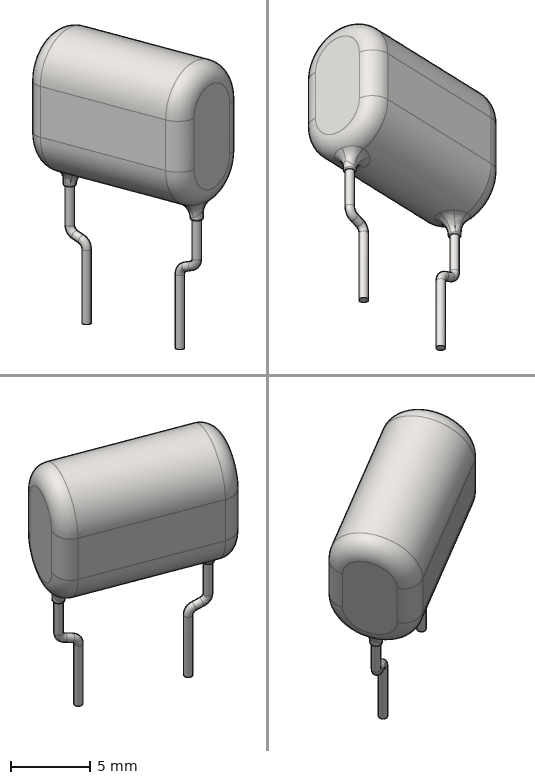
import cadquery as cq
import math

case_length = 12.6
case_depth = 6.2
case_height = 9.6
case_edge_radius = 1.27
overall_height = 19.6
case_bottom = overall_height - case_height
case_centre_z = case_bottom + case_height / 2

collar_diameter = 0.82
collar_bottom = 8.95
collar_blend_radius = 1.08
collar_lip_radius = 0.1

lead_diameter = 0.6
upper_lead_x = 5.1
lower_lead_x = 3.75
bend_top = 6.31
bend_bottom = 4.98
bend_radius = lead_diameter
sides = (-1, 1)


def make_case():
    """Stadium bar with rounded ends and two filleted collars underneath."""
    case = (
        cq.Workplane("YZ")
        .center(0, case_centre_z)
        .slot2D(case_height, case_depth, 90)
        .extrude(case_length / 2, both=True)
        .faces("<X or >X")
        .edges()
        .fillet(case_edge_radius)
    )
    for side in sides:
        collar = (
            cq.Workplane("XY", origin=(side * upper_lead_x, 0, collar_bottom))
            .circle(collar_diameter / 2)
            .extrude(case_centre_z - collar_bottom)
            .faces("<Z")
            .edges()
            .fillet(collar_lip_radius)
        )
        case = case.union(collar)

    reach = collar_diameter
    for side in sides:
        root_zone = cq.selectors.BoxSelector(
            (side * upper_lead_x - reach, -reach, case_bottom - 0.2),
            (side * upper_lead_x + reach, reach, case_bottom + reach),
            boundingbox=True,
        )
        case = case.edges(root_zone).fillet(collar_blend_radius)
    return case


def make_lead(side):
    """Round wire swept along two straight runs joined by a tangent S-bend."""
    offset = upper_lead_x - lower_lead_x
    drop = bend_top - bend_bottom

    centre_offset = offset - 2 * bend_radius
    middle_length = math.sqrt(drop**2 + centre_offset**2 - 4 * bend_radius**2)
    bend_angle = math.atan2(centre_offset, drop) + math.atan2(2 * bend_radius, middle_length)

    def bend_point(start_x, start_z, direction, angle):
        """Point on a bend that starts vertical, as (side-signed X, Z)."""
        x = start_x - direction * bend_radius * (1 - math.cos(angle))
        z = start_z - direction * bend_radius * math.sin(angle)
        return (side * x, z)

    path = (
        cq.Workplane("XZ")
        .moveTo(side * upper_lead_x, collar_bottom)
        .lineTo(side * upper_lead_x, bend_top)
        .threePointArc(
            bend_point(upper_lead_x, bend_top, 1, bend_angle / 2),
            bend_point(upper_lead_x, bend_top, 1, bend_angle),
        )
        .lineTo(*bend_point(lower_lead_x, bend_bottom, -1, bend_angle))
        .threePointArc(
            bend_point(lower_lead_x, bend_bottom, -1, bend_angle / 2),
            (side * lower_lead_x, bend_bottom),
        )
        .lineTo(side * lower_lead_x, 0)
    )
    return (
        cq.Workplane("XY", origin=(side * upper_lead_x, 0, collar_bottom))
        .circle(lead_diameter / 2)
        .sweep(path)
    )


case = make_case()
leads = [make_lead(side) for side in sides]

result = cq.Compound.makeCompound([case.val(), *[lead.val() for lead in leads]])